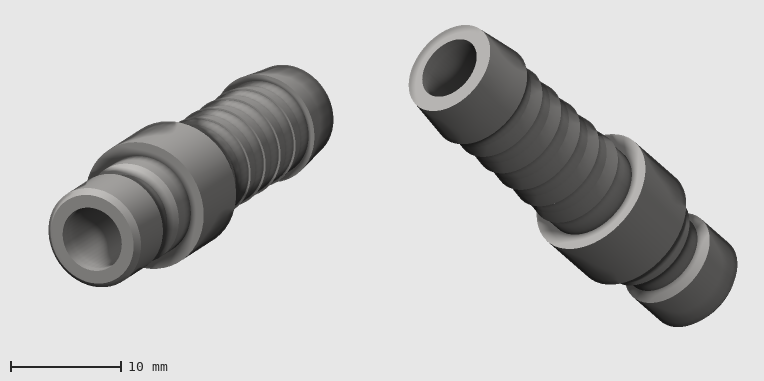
import cadquery as cq

total_length = 39.5
bore_diameter = 6.0

plug_diameter = 9.4
plug_chamfer = 0.5
plug_lip_length = 4.9
groove_diameter = 7.8
groove_mouth_width = 3.2
groove_wall_run = (plug_diameter - groove_diameter) / 2

collar_diameter = 12.0
collar_start = 10.5
collar_length = 6.5

tail_diameter = 9.0
head_diameter = 10.2
head_length = 5.0
ridge_diameter = 9.4
ridge_length = 1.5
ridge_pitch = 3.0
ridge_count = 5
head_to_ridge_gap = 1.5


def cylinder(diameter, start, length):
    """Solid cylinder on the Y axis, running from start towards +Y."""
    return cq.Workplane("XZ", origin=(0, start, 0)).circle(diameter / 2).extrude(-length)


def tapered_ring(large_diameter, start, length):
    """Solid cone on the Y axis, narrowing to the tail diameter towards +Y."""
    end = start + length
    profile = (
        cq.Workplane("XY")
        .moveTo(0, start)
        .lineTo(large_diameter / 2, start)
        .lineTo(tail_diameter / 2, end)
        .lineTo(0, end)
        .close()
    )
    return profile.revolve(360, (0, 0, 0), (0, 1, 0))


def make_plug():
    """Plug with a chamfered nose and a locking groove with sloped walls."""
    plug_radius = plug_diameter / 2
    groove_radius = groove_diameter / 2
    groove_end = plug_lip_length + groove_mouth_width
    profile = (
        cq.Workplane("XY")
        .moveTo(0, 0)
        .lineTo(plug_radius - plug_chamfer, 0)
        .lineTo(plug_radius, plug_chamfer)
        .lineTo(plug_radius, plug_lip_length)
        .lineTo(groove_radius, plug_lip_length + groove_wall_run)
        .lineTo(groove_radius, groove_end - groove_wall_run)
        .lineTo(plug_radius, groove_end)
        .lineTo(plug_radius, collar_start)
        .lineTo(0, collar_start)
        .close()
    )
    return profile.revolve(360, (0, 0, 0), (0, 1, 0))


def make_tail():
    """Hose tail with a tapered head and a row of shallow gripping ridges."""
    tail_start = collar_start + collar_length
    head_start = total_length - head_length
    tail = cylinder(tail_diameter, tail_start, head_start - tail_start)
    tail = tail.union(tapered_ring(head_diameter, head_start, head_length))
    first_ridge_start = head_start - head_to_ridge_gap - ridge_length
    for index in range(ridge_count):
        ridge_start = first_ridge_start - index * ridge_pitch
        tail = tail.union(tapered_ring(ridge_diameter, ridge_start, ridge_length))
    return tail


collar = cylinder(collar_diameter, collar_start, collar_length)
bore = cylinder(bore_diameter, 0, total_length)
result = make_plug().union(collar).union(make_tail()).cut(bore)